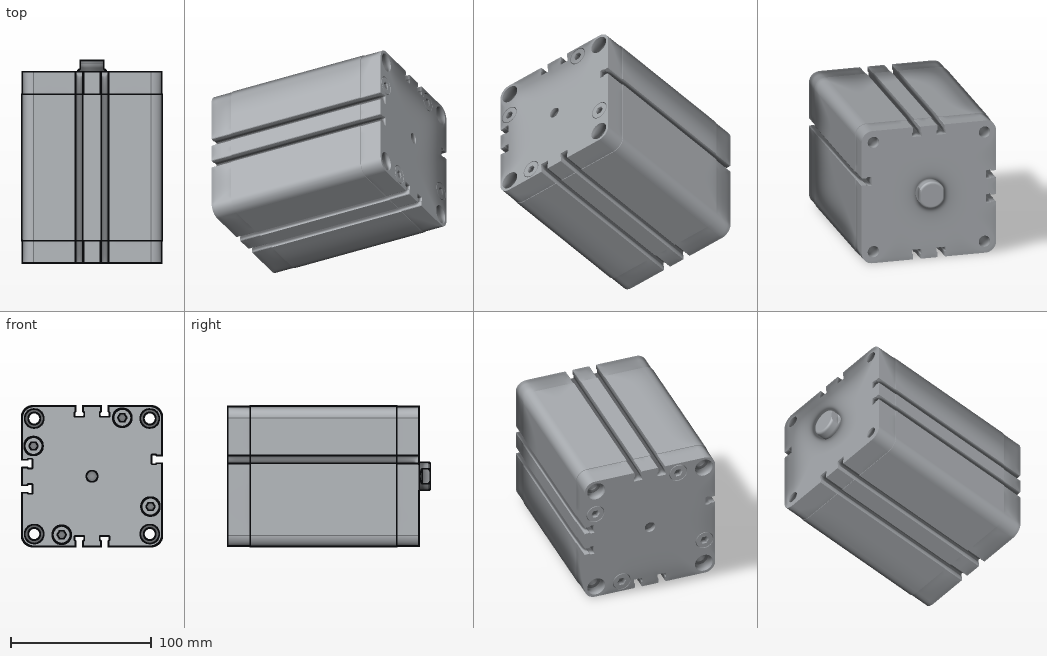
import cadquery as cq
import math


tube_width = 100.0
cap_width = 99.2
cap_length = 16.0
housing_length = 136.0
tube_length = housing_length - 2 * cap_length
corner_centre = 41.7

slot_offset = 9.0
single_slot_height = 12.0
slot_mouth_width = 5.2
slot_inner_width = 6.7
slot_lip = 46.0
slot_floor_bevel = 0.3
mouth_chamfer = 0.4
tube_mouth_chamfer = 0.0
tube_slot_floor = 42.4
cap_slot_floor = 42.3

mount_pitch = 82.0
mount_hole_diameter = 8.38
mount_bore_diameter = 13.5
mount_bore_depth = 8.5

screw_near = 21.5
screw_far = 41.5
screw_count = 4
screw_recess_diameter = 13.5
screw_head_diameter = 12.5
screw_recess_depth = 2.0
hex_across_flats = 5.5
hex_depth = 4.0

centre_hole_diameter = 8.0
centre_hole_depth = 4.0

rod_diameter = 20.0
rod_length = 8.0
rod_tip_radius = 1.7
rod_across_flats = 17.0
rod_flat_length = 6.0


def end_plane(y):
    """Plane square to the Y axis at y, whose local axes are +X and +Z and whose normal is -Y."""
    return cq.Workplane("XZ", origin=(0, y, 0))


def block(width, start, length):
    """Square prism with rounded edges, from y = start to y = start + length."""
    corner_radius = width / 2 - corner_centre
    prism = end_plane(start).rect(width, width).extrude(-length)
    return prism.edges("|Y").fillet(corner_radius)


def slot_cutter(offset, angle, chamfer, floor, surface, start, length):
    """T-slot open at z = surface and centred on x = offset, then turned about the Y axis by angle."""
    mouth = slot_mouth_width / 2
    inner = slot_inner_width / 2
    lip_slope = inner - mouth
    right_side = [
        (inner - slot_floor_bevel, floor),
        (inner, floor + slot_floor_bevel),
        (inner, slot_lip - lip_slope),
        (mouth, slot_lip),
    ]
    if chamfer > 0:
        right_side.append((mouth, surface - chamfer))
    right_side.append((mouth + chamfer, surface))
    left_side = [(-x, z) for x, z in reversed(right_side)]
    slot = end_plane(start).center(offset, 0).polyline(right_side + left_side).close().extrude(-length)
    return slot.rotate((0, 0, 0), (0, 1, 0), angle)


def cut_slots(body, other_chamfer, floor, width, start, length):
    """Two slots on the +Z, -Z and -X faces and a single slot on the +X face.

    The mouths on the -X face are always chamfered, the others by other_chamfer.
    """
    faces = [
        (0, other_chamfer, (-slot_offset, slot_offset)),
        (180, other_chamfer, (-slot_offset, slot_offset)),
        (-90, mouth_chamfer, (-slot_offset, slot_offset)),
        (90, other_chamfer, (-single_slot_height,)),
    ]
    for angle, chamfer, offsets in faces:
        for offset in offsets:
            body = body.cut(slot_cutter(offset, angle, chamfer, floor, width / 2, start, length))
    return body


def housing():
    """Tube and both end caps joined into one body."""
    cap = block(cap_width, 0, cap_length)
    front_cap = cut_slots(cap, mouth_chamfer, cap_slot_floor, cap_width, 0, cap_length)
    rear_cap = front_cap.translate((0, housing_length - cap_length, 0))
    tube = block(tube_width, cap_length, tube_length)
    tube = cut_slots(tube, tube_mouth_chamfer, tube_slot_floor, tube_width, cap_length, tube_length)
    return tube.union(front_cap).union(rear_cap)


def mount_hole_cutter():
    """Four through holes with counterbores in the front face."""
    corners = end_plane(0).rect(mount_pitch, mount_pitch, forConstruction=True).vertices()
    through = corners.circle(mount_hole_diameter / 2).extrude(-housing_length)
    bores = corners.circle(mount_bore_diameter / 2).extrude(-mount_bore_depth)
    return through.union(bores)


def screw_cutter(x, z):
    """Ring gap around a flush screw head and the hexagon socket with corners along X."""
    head = end_plane(0).center(x, z)
    ring = (
        head.circle(screw_recess_diameter / 2)
        .circle(screw_head_diameter / 2)
        .extrude(-screw_recess_depth)
    )
    hex_across_corners = hex_across_flats / math.cos(math.pi / 6)
    socket = head.polygon(6, hex_across_corners).extrude(-hex_depth)
    return ring.union(socket)


def cut_screws(body):
    """Four cap screws, each a quarter turn about the axis from the last."""
    x, z = screw_near, screw_far
    for _ in range(screw_count):
        body = body.cut(screw_cutter(x, z))
        x, z = -z, x
    return body


def centre_hole_cutter():
    return end_plane(0).circle(centre_hole_diameter / 2).extrude(-centre_hole_depth)


def piston_rod():
    """Rod end with a rounded tip and two wrench flats that run out at 45 degrees."""
    rod = end_plane(housing_length).circle(rod_diameter / 2).extrude(-rod_length)
    rod = rod.faces(">Y").fillet(rod_tip_radius)
    tip = housing_length + rod_length
    flat_end = tip - rod_flat_length
    flat = rod_across_flats / 2
    runout = rod_diameter / 2 - flat
    flat_cutter = (
        cq.Workplane("XY")
        .moveTo(flat, tip)
        .lineTo(flat, flat_end)
        .lineTo(flat + runout, flat_end - runout)
        .lineTo(flat + runout, tip)
        .close()
        .extrude(rod_diameter / 2, both=True)
    )
    return rod.cut(flat_cutter).cut(flat_cutter.mirror("YZ"))


body = housing().cut(mount_hole_cutter()).cut(centre_hole_cutter())
result = cut_screws(body).union(piston_rod())